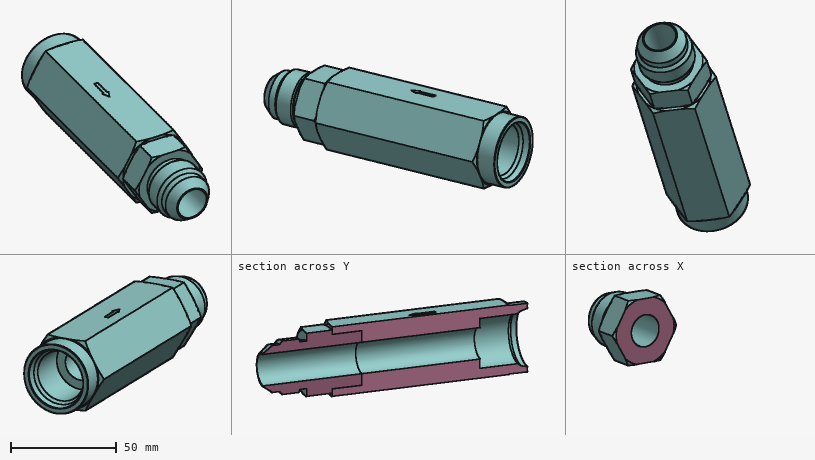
import cadquery as cq
import math


housing_hex_start = 9.5
housing_end = 99.0
adapter_hex_end = 112.0
thread_start = 115.3
thread_end = 124.1
nose_cone_start = 129.3
overall_length = 134.01

housing_hex_flats = 34.925
collar_diameter = 34.54
collar_edge_chamfer = 0.3
housing_face_diameter = 35.6
housing_chamfer_length = 1.0

port_seat_depth = 3.4
port_seat_angle = 15.0
port_seat_bottom_diameter = 27.2
port_lead_in_length = 1.6
port_bore_diameter = 24.69
port_depth = 24.0

adapter_hex_flats = 31.75
adapter_face_diameter = 33.0
adapter_chamfer_length = 0.8
neck_diameter = 24.05
thread_diameter = 26.98
thread_chamfer = 0.7
nose_diameter = 23.7
nose_cone_angle = 37.0
flow_diameter = 15.47
spigot_diameter = thread_diameter
spigot_length = 15.0

arrow_start = 45.8
arrow_length = 13.1
arrow_head_length = 4.0
arrow_head_width = 3.4
arrow_shaft_width = 1.9
arrow_center_y = -2.6
arrow_depth = 0.1


def cylinder(start, end, diameter):
    """Round bar along X between two stations."""
    return cq.Workplane("YZ", origin=(start, 0, 0)).circle(diameter / 2).extrude(end - start)


def revolved(points):
    """Solid of revolution about X from (station, radius) points."""
    return cq.Workplane("XY").polyline(points).close().revolve(360, (0, 0, 0), (1, 0, 0))


def chamfered_hex(start, end, flats, face_diameter, chamfer_length):
    """Hexagonal bar along X, flats facing +Z and -Z, with turned corners at both ends."""
    across_corners = flats / math.cos(math.radians(30))
    bar = cq.Workplane("YZ", origin=(start, 0, 0)).polygon(6, across_corners).extrude(end - start)
    envelope = revolved([
        (start, 0),
        (start, face_diameter / 2),
        (start + chamfer_length, across_corners / 2),
        (end - chamfer_length, across_corners / 2),
        (end, face_diameter / 2),
        (end, 0),
    ])
    return bar.intersect(envelope)


def female_port():
    """Inlet cavity: chamfered mouth, tapered seal seat, lead-in cone, then a plain bore."""
    seat_radius = port_seat_bottom_diameter / 2
    bore_radius = port_bore_diameter / 2
    seat_length = port_seat_depth - collar_edge_chamfer
    mouth_radius = seat_radius + seat_length * math.tan(math.radians(port_seat_angle))
    return revolved([
        (0, 0),
        (0, mouth_radius + collar_edge_chamfer),
        (collar_edge_chamfer, mouth_radius),
        (port_seat_depth, seat_radius),
        (port_seat_depth + port_lead_in_length, bore_radius),
        (port_depth, bore_radius),
        (port_depth, 0),
    ])


def flow_arrow():
    """Shallow arrow pointing toward the outlet."""
    head_start = arrow_length - arrow_head_length
    half_shaft = arrow_shaft_width / 2
    half_head = arrow_head_width / 2
    top = housing_hex_flats / 2
    return (
        cq.Workplane("XY", origin=(arrow_start, arrow_center_y, top - arrow_depth))
        .moveTo(0, -half_shaft)
        .lineTo(head_start, -half_shaft)
        .lineTo(head_start, -half_head)
        .lineTo(arrow_length, 0)
        .lineTo(head_start, half_head)
        .lineTo(head_start, half_shaft)
        .lineTo(0, half_shaft)
        .close()
        .extrude(arrow_depth)
    )


def make_housing():
    """Hexagonal body with a round inlet collar and a socket for the adapter."""
    body = chamfered_hex(
        housing_hex_start, housing_end, housing_hex_flats,
        housing_face_diameter, housing_chamfer_length,
    )
    collar = cylinder(0, housing_hex_start, collar_diameter).edges("<X").chamfer(collar_edge_chamfer)
    body = body.union(collar)
    body = body.cut(female_port())
    body = body.cut(cylinder(0, housing_end, flow_diameter))
    body = body.cut(cylinder(housing_end - spigot_length, housing_end, spigot_diameter))
    return body.cut(flow_arrow())


def make_adapter():
    """Hexagonal adapter with an inner spigot and a male flare end."""
    body = chamfered_hex(
        housing_end, adapter_hex_end, adapter_hex_flats,
        adapter_face_diameter, adapter_chamfer_length,
    )
    body = body.union(cylinder(housing_end - spigot_length, housing_end, spigot_diameter))

    neck_radius = neck_diameter / 2
    thread_radius = thread_diameter / 2
    nose_radius = nose_diameter / 2
    cone_length = overall_length - nose_cone_start
    tip_radius = nose_radius - cone_length * math.tan(math.radians(nose_cone_angle))
    flare_end = revolved([
        (adapter_hex_end, 0),
        (adapter_hex_end, neck_radius),
        (thread_start, neck_radius),
        (thread_start, thread_radius - thread_chamfer),
        (thread_start + thread_chamfer, thread_radius),
        (thread_end, thread_radius),
        (thread_end + thread_radius - nose_radius, nose_radius),
        (nose_cone_start, nose_radius),
        (overall_length, tip_radius),
        (overall_length, 0),
    ])
    body = body.union(flare_end)
    return body.cut(cylinder(housing_end - spigot_length, overall_length, flow_diameter))


housing = make_housing()
adapter = make_adapter()

result = cq.Compound.makeCompound([housing.val(), adapter.val()])